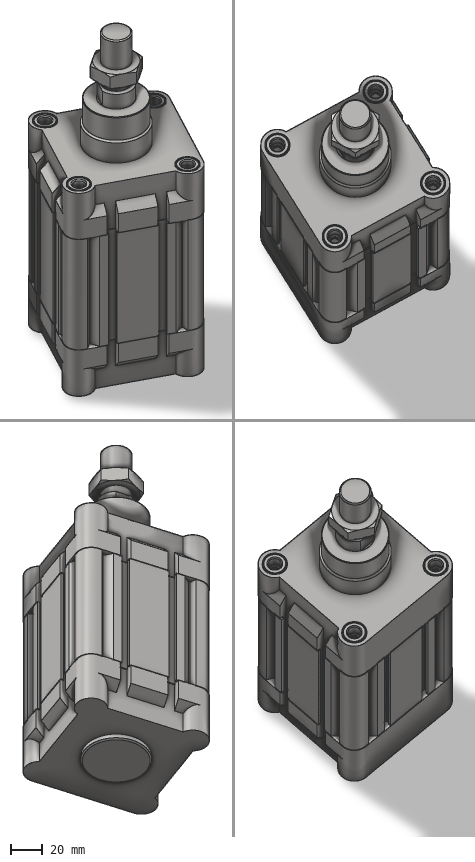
import cadquery as cq
import math

TOTAL_HEIGHT = 248.0
BOSS_HEIGHT = 4.0
BODY_HEIGHT = 158.0
CAP_HEIGHT = 36.0
COLLAR_TOP = 196.7
THREAD_LENGTH = 40.0
BODY_TOP = BOSS_HEIGHT + BODY_HEIGHT
BARREL_BOTTOM = BOSS_HEIGHT + CAP_HEIGHT
BARREL_TOP = BODY_TOP - CAP_HEIGHT
SHOULDER_Z = TOTAL_HEIGHT - THREAD_LENGTH

CAP_HALF = 93.0 / 2
SCREW_OFFSET = 36.0
SCREW_POINTS = [(x, y) for x in (-SCREW_OFFSET, SCREW_OFFSET) for y in (-SCREW_OFFSET, SCREW_OFFSET)]
COLUMN_RADIUS = CAP_HALF - SCREW_OFFSET
RECESS_HALF = 41.0
PAD_HEIGHT = 21.0
PAD_SLOPE_HEIGHT = 6.2
CENTER_PAD_HALF = 13.1
SIDE_PAD_INNER = 20.5

BARREL_HALF = 46.1
BARREL_CORNER_RADIUS = BARREL_HALF - SCREW_OFFSET
SLOT_INNER = 14.0
SLOT_OUTER = 19.3
SLOT_FLOOR = 41.7
LIP_THICKNESS = 2.0
GROOVE_EDGE_INNER = 25.3
GROOVE_SLOPE_WIDTH = 3.5
GROOVE_FLOOR_INNER = 30.3
GROOVE_FLOOR_OUTER = 31.0
GROOVE_DEPTH = 4.5
GROOVE_EDGE_OUTER = 33.2

SCREW_SEAT_DIAMETER = 15.9
SCREW_HEAD_DIAMETER = 15.0
SCREW_GROOVE_DEPTH = 1.0
SCREW_CHAMFER = 0.5
SCREW_MOUTH_DIAMETER = 10.0
SCREW_THREAD_DIAMETER = 8.5
SCREW_THREAD_DEPTH = 7.5
SOCKET_FLATS = 5.5
SOCKET_DEPTH = 3.7

BOSS_DIAMETER = 45.0
BOSS_CHAMFER = 1.0
COLLAR_DIAMETER = 45.5
COLLAR_NECK_DIAMETER = 43.0
COLLAR_STEP = (COLLAR_DIAMETER - COLLAR_NECK_DIAMETER) / 2
COLLAR_SHOULDER_Z = 178.8
COLLAR_EDGE_CHAMFER = 0.5

ROD_DIAMETER = 25.0
ROD_FLATS = 22.0
ROD_BOTTOM = BARREL_TOP
THREAD_DIAMETER = 20.0
THREAD_TIP_DIAMETER = 18.4
THREAD_CHAMFER = (THREAD_DIAMETER - THREAD_TIP_DIAMETER) / 2

NUT_FLATS = 30.0
NUT_HEIGHT = 10.5
NUT_BOTTOM = 215.0
NUT_CHAMFER_DIAMETER = 30.0
NUT_CHAMFER_ANGLE = 20.0


def cylinder(diameter, bottom, top):
    return cq.Workplane("XY").workplane(offset=bottom).circle(diameter / 2).extrude(top - bottom)


def cone(bottom_diameter, top_diameter, bottom, top):
    base = cq.Vector(0, 0, bottom)
    return cq.Workplane(cq.Solid.makeCone(bottom_diameter / 2, top_diameter / 2, top - bottom, pnt=base))


def turn(shape, angle):
    """Turn a shape about the Z axis."""
    return shape.rotate((0, 0, 0), (0, 0, 1), angle)


def across_corners(flats):
    return flats / math.cos(math.pi / 6)


def hexagon(flats, bottom, top):
    """Hexagonal prism with two of its corners on the Y axis."""
    corner_to_y_axis = 90
    prism = cq.Workplane("XY").polygon(6, across_corners(flats)).extrude(top - bottom)
    return turn(prism, corner_to_y_axis).translate((0, 0, bottom))


def box(x_min, x_max, y_min, y_max, z_min, z_max):
    return cq.Workplane("XY").box(
        x_max - x_min, y_max - y_min, z_max - z_min, centered=False
    ).translate((x_min, y_min, z_min))


def make_pad(x_min, x_max):
    """Raised pad on the -Y side of the front cap, with a sloping upper end."""
    pad_top = BARREL_TOP + PAD_HEIGHT
    return (
        cq.Workplane("YZ")
        .workplane(offset=x_min)
        .moveTo(0, BARREL_TOP)
        .lineTo(-CAP_HALF, BARREL_TOP)
        .lineTo(-CAP_HALF, pad_top - PAD_SLOPE_HEIGHT)
        .lineTo(-RECESS_HALF, pad_top)
        .lineTo(0, pad_top)
        .close()
        .extrude(x_max - x_min)
    )


def make_front_cap():
    """Square cap with round corner columns, recessed -X, +X and -Y sides and raised pads on them."""
    cap = box(-RECESS_HALF, RECESS_HALF, -RECESS_HALF, RECESS_HALF, BARREL_TOP, BODY_TOP)
    cap = cap.union(box(-SCREW_OFFSET, SCREW_OFFSET, 0, CAP_HALF, BARREL_TOP, BODY_TOP))
    column = cylinder(2 * COLUMN_RADIUS, BARREL_TOP, BODY_TOP)
    for x, y in SCREW_POINTS:
        cap = cap.union(column.translate((x, y, 0)))
    for angle in (-90, 0, 90):
        cap = cap.union(turn(make_pad(-CENTER_PAD_HALF, CENTER_PAD_HALF), angle))
        cap = cap.union(turn(make_pad(SIDE_PAD_INNER, SCREW_OFFSET), angle))
        cap = cap.union(turn(make_pad(-SCREW_OFFSET, -SIDE_PAD_INNER), angle))
    return cap


def make_barrel():
    """Tube profile with two T-slots and two corner grooves along each side."""
    length = BARREL_TOP - BARREL_BOTTOM
    barrel = (
        cq.Workplane("XY")
        .workplane(offset=BARREL_BOTTOM)
        .rect(2 * BARREL_HALF, 2 * BARREL_HALF)
        .extrude(length)
        .edges("|Z")
        .fillet(BARREL_CORNER_RADIUS)
    )
    lip_back = BARREL_HALF - LIP_THICKNESS
    slot_mouth = box(SLOT_INNER, SLOT_OUTER, -BARREL_HALF, -SLOT_FLOOR, BARREL_BOTTOM, BARREL_TOP)
    slot_cavity = box(CENTER_PAD_HALF, SIDE_PAD_INNER, -lip_back, -SLOT_FLOOR, BARREL_BOTTOM, BARREL_TOP)
    groove = (
        cq.Workplane("XY")
        .workplane(offset=BARREL_BOTTOM)
        .moveTo(GROOVE_EDGE_INNER, -BARREL_HALF)
        .lineTo(GROOVE_EDGE_INNER + GROOVE_SLOPE_WIDTH, -BARREL_HALF + GROOVE_SLOPE_WIDTH)
        .lineTo(GROOVE_FLOOR_INNER, -BARREL_HALF + GROOVE_DEPTH)
        .lineTo(GROOVE_FLOOR_OUTER, -BARREL_HALF + GROOVE_DEPTH)
        .lineTo(GROOVE_EDGE_OUTER, -BARREL_HALF)
        .close()
        .extrude(length)
    )
    cuts = slot_mouth.union(slot_cavity).union(groove)
    for angle in (0, 90, 180, 270):
        barrel = barrel.cut(turn(cuts, angle))
        barrel = barrel.cut(turn(cuts.mirror("YZ"), angle))
    return barrel


def make_screw_cut():
    """Space left round and inside one flush tie screw, centred on the Z axis."""
    groove_bottom = BODY_TOP - SCREW_GROOVE_DEPTH
    head = cylinder(SCREW_HEAD_DIAMETER, groove_bottom, BODY_TOP).faces(">Z").chamfer(SCREW_CHAMFER)
    groove = cylinder(SCREW_SEAT_DIAMETER, groove_bottom, BODY_TOP).cut(head)

    thread_bottom = BODY_TOP - SCREW_THREAD_DEPTH
    mouth_depth = (SCREW_MOUTH_DIAMETER - SCREW_THREAD_DIAMETER) / 2
    mouth = cone(SCREW_THREAD_DIAMETER, SCREW_MOUTH_DIAMETER, BODY_TOP - mouth_depth, BODY_TOP)
    hole = cylinder(SCREW_THREAD_DIAMETER, thread_bottom, BODY_TOP)
    lead_in_depth = (SCREW_THREAD_DIAMETER - SOCKET_FLATS) / 2
    lead_in = cone(SOCKET_FLATS, SCREW_THREAD_DIAMETER, thread_bottom - lead_in_depth, thread_bottom)
    socket = hexagon(SOCKET_FLATS, thread_bottom - SOCKET_DEPTH, thread_bottom)
    return hole.union(mouth).union(lead_in).union(socket).union(groove)


def make_boss():
    return cylinder(BOSS_DIAMETER, 0, BOSS_HEIGHT).faces("<Z").chamfer(BOSS_CHAMFER)


def make_collar():
    wide = cylinder(COLLAR_DIAMETER, BODY_TOP, COLLAR_SHOULDER_Z).faces(">Z").chamfer(COLLAR_STEP)
    neck = cylinder(COLLAR_NECK_DIAMETER, BODY_TOP, COLLAR_TOP).faces(">Z").chamfer(COLLAR_EDGE_CHAMFER)
    return wide.union(neck)


def make_housing():
    """Barrel, both end caps, rear boss and front collar in one piece, bored for the rod."""
    front_cap = make_front_cap()
    rear_cap = front_cap.mirror("XY", (0, 0, BOSS_HEIGHT + BODY_HEIGHT / 2))
    housing = make_barrel().union(front_cap).union(rear_cap)
    housing = housing.union(make_boss()).union(make_collar())
    screw_cut = make_screw_cut()
    for x, y in SCREW_POINTS:
        housing = housing.cut(screw_cut.translate((x, y, 0)))
    return housing.cut(cylinder(ROD_DIAMETER, ROD_BOTTOM, COLLAR_TOP))


def make_rod():
    """Piston rod with two wrench flats and a reduced threaded end."""
    rod = cylinder(ROD_DIAMETER, ROD_BOTTOM, SHOULDER_Z)
    half_rod = ROD_DIAMETER / 2
    half_flats = ROD_FLATS / 2
    rod = rod.cut(box(-half_rod, half_rod, half_flats, half_rod, COLLAR_TOP, SHOULDER_Z))
    rod = rod.cut(box(-half_rod, half_rod, -half_rod, -half_flats, COLLAR_TOP, SHOULDER_Z))
    thread = cylinder(THREAD_DIAMETER, SHOULDER_Z, TOTAL_HEIGHT).faces("<Z or >Z").chamfer(THREAD_CHAMFER)
    return rod.union(thread)


def make_nut():
    """Hexagon lock nut on the rod thread, chamfered on both faces."""
    nut_top = NUT_BOTTOM + NUT_HEIGHT
    corner_diameter = across_corners(NUT_FLATS)
    chamfer_width = (corner_diameter - NUT_CHAMFER_DIAMETER) / 2
    chamfer_height = chamfer_width * math.tan(math.radians(NUT_CHAMFER_ANGLE))
    blank = cylinder(corner_diameter, NUT_BOTTOM, nut_top)
    blank = blank.faces("<Z or >Z").chamfer(chamfer_height, chamfer_width)
    nut = hexagon(NUT_FLATS, NUT_BOTTOM, nut_top).intersect(blank)
    return nut.cut(cylinder(THREAD_DIAMETER, NUT_BOTTOM, nut_top))


housing = make_housing()
rod = make_rod()
nut = make_nut()
result = cq.Compound.makeCompound([housing.val(), rod.val(), nut.val()])